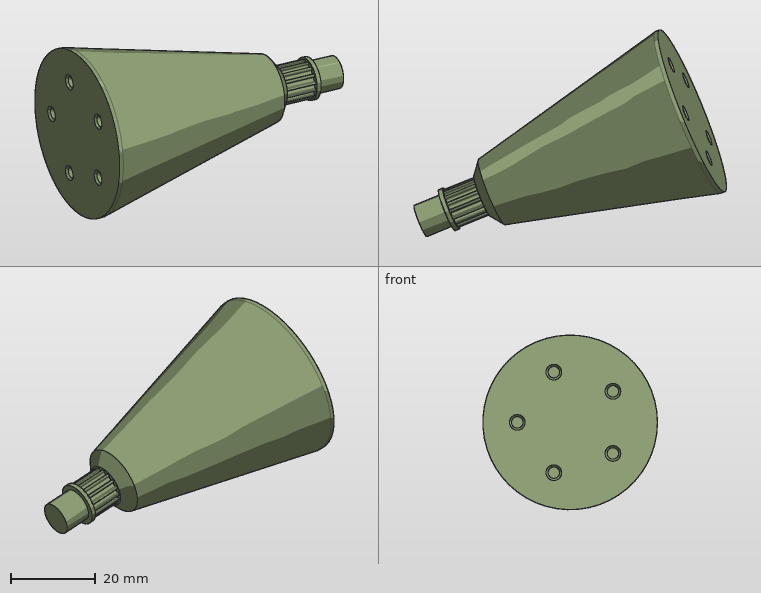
import cadquery as cq
import math

base_y = 0.0
rim_height = 1.0
cone_top_y = 51.5
shoulder_top_y = 54.0
collar_bottom_y = 62.0
collar_top_y = 63.1
tip_y = 69.9

base_diameter = 41.34
cone_top_diameter = 16.8
shoulder_top_diameter = 10.5
spline_diameter = 9.6
collar_diameter = 10.5
tip_diameter = 8.05

groove_count = 16
groove_half_width = 0.5
groove_root_diameter = 7.8
land_edge_radius = 0.18

hole_count = 5
hole_circle_radius = 12.5
hole_diameter = 2.7
hole_depth = 10.0
countersink_diameter = 3.7
countersink_depth = (countersink_diameter - hole_diameter) / 2


def make_body():
    """Revolve the stepped half profile around the Y axis."""
    return (
        cq.Workplane("XY")
        .moveTo(0, base_y)
        .lineTo(base_diameter / 2, base_y)
        .lineTo(base_diameter / 2, base_y + rim_height)
        .lineTo(cone_top_diameter / 2, cone_top_y)
        .lineTo(shoulder_top_diameter / 2, shoulder_top_y)
        .lineTo(spline_diameter / 2, shoulder_top_y)
        .lineTo(spline_diameter / 2, collar_bottom_y)
        .lineTo(collar_diameter / 2, collar_bottom_y)
        .lineTo(collar_diameter / 2, collar_top_y)
        .lineTo(tip_diameter / 2, collar_top_y)
        .lineTo(tip_diameter / 2, tip_y)
        .lineTo(0, tip_y)
        .close()
        .revolve(360, (0, 0, 0), (0, 1, 0))
    )


def y_cylinder(radius, start_y, end_y, x, z):
    """Cylinder parallel to the Y axis between two stations."""
    return cq.Solid.makeCylinder(radius, end_y - start_y, cq.Vector(x, start_y, z), cq.Vector(0, 1, 0))


def make_groove_cutter():
    """Prism of one groove on the +X side, including the rounding of its two land edges."""
    root_x = groove_root_diameter / 2
    wall_start_x = root_x + groove_half_width
    spline_radius = spline_diameter / 2
    outer_x = collar_diameter / 2

    arc_center_distance = spline_radius - land_edge_radius
    arc_center_z = groove_half_width + land_edge_radius
    land_angle = math.asin(arc_center_z / arc_center_distance)
    wall_end_x = arc_center_distance * math.cos(land_angle)
    land_x = spline_radius * math.cos(land_angle)
    land_z = spline_radius * math.sin(land_angle)
    arc_middle_angle = (land_angle - math.pi / 2) / 2
    arc_middle_x = wall_end_x + land_edge_radius * math.cos(arc_middle_angle)
    arc_middle_z = arc_center_z + land_edge_radius * math.sin(arc_middle_angle)

    return (
        cq.Workplane("XZ", origin=(0, collar_bottom_y, 0))
        .moveTo(outer_x, land_z)
        .lineTo(land_x, land_z)
        .threePointArc((arc_middle_x, arc_middle_z), (wall_end_x, groove_half_width))
        .lineTo(wall_start_x, groove_half_width)
        .threePointArc((root_x, 0), (wall_start_x, -groove_half_width))
        .lineTo(wall_end_x, -groove_half_width)
        .threePointArc((arc_middle_x, -arc_middle_z), (land_x, -land_z))
        .lineTo(outer_x, -land_z)
        .close()
        .extrude(collar_bottom_y - shoulder_top_y)
    )


def cut_spline_grooves(body):
    """Cut the lengthwise grooves between the shoulder and the collar."""
    cutter = make_groove_cutter()
    for index in range(groove_count):
        angle = 360 * index / groove_count
        body = body.cut(cutter.rotate((0, 0, 0), (0, 1, 0), angle))
    return body


def cut_base_holes(body):
    """Cut the ring of countersunk holes, the first one on the -X side."""
    for index in range(hole_count):
        angle = math.pi + 2 * math.pi * index / hole_count
        x = hole_circle_radius * math.cos(angle)
        z = hole_circle_radius * math.sin(angle)
        hole = y_cylinder(hole_diameter / 2, base_y, base_y + hole_depth, x, z)
        countersink = cq.Solid.makeCone(
            countersink_diameter / 2,
            hole_diameter / 2,
            countersink_depth,
            cq.Vector(x, base_y, z),
            cq.Vector(0, 1, 0),
        )
        body = body.cut(hole).cut(countersink)
    return body


result = cut_base_holes(cut_spline_grooves(make_body()))